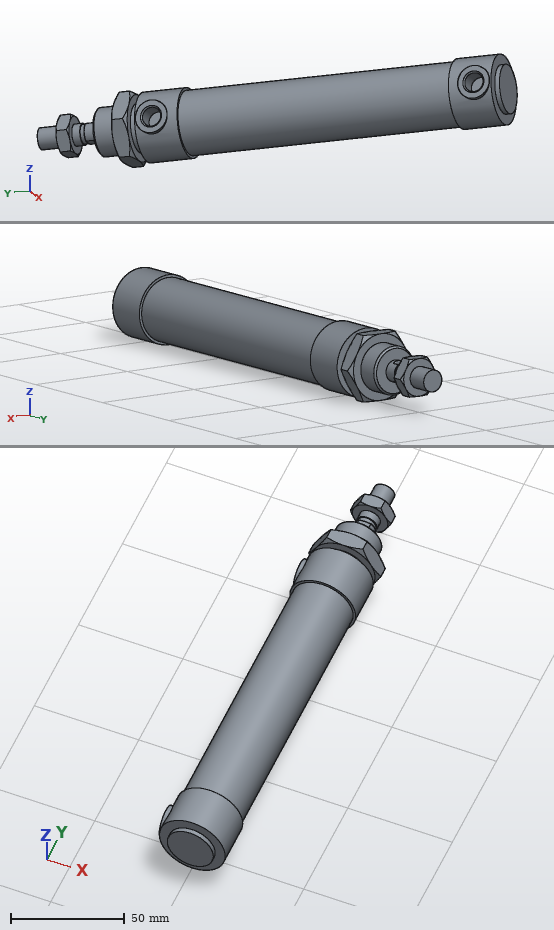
import cadquery as cq
import math

LENGTH = 220.5
ROD_TIP = LENGTH / 2
REAR_END = -LENGTH / 2

CAP_DIAMETER = 31.5
CAP_LENGTH = 20.0
BARREL_DIAMETER = 29.0
NOSE_DIAMETER = 22.0
NOSE_FRONT = ROD_TIP - 28.2
NOSE_CHAMFER = 0.9
FRONT_CAP_FACE = ROD_TIP - 50.0
SPIGOT_LENGTH = 2.2
REAR_CAP_FACE = REAR_END + SPIGOT_LENGTH

PORT_BOSS_DIAMETER = 15.0
PORT_FACE_X = -16.0
PORT_HOLE_DIAMETER = 8.5
PORT_MOUTH_DIAMETER = 10.0
MOUTH_TAPER = 45.0
PORT_DEPTH = 8.8
FRONT_PORT_INSET = 8.0
REAR_PORT_INSET = 8.2
PORT_CENTRES = [FRONT_CAP_FACE - FRONT_PORT_INSET, REAR_CAP_FACE + REAR_PORT_INSET]

ROD_DIAMETER = 10.0
NECK_DIAMETER = 8.8
NECK_FRONT = ROD_TIP - 20.0
NECK_LENGTH = 2.0
FLAT_WIDTH = 8.2
FLAT_LENGTH = 4.0
FLAT_END_RADIUS = 0.7

MOUNT_NUT_FLATS = 30.0
MOUNT_NUT_THICKNESS = 7.5
MOUNT_NUT_FRONT = ROD_TIP - 38.8
ROD_NUT_FLATS = 17.0
ROD_NUT_THICKNESS = 6.2
ROD_NUT_FRONT = ROD_TIP - 10.1
NUT_CHAMFER_ANGLE = 30.0


def rod_along_y(diameter, front, length):
    """Round bar on the bore axis, running from front towards -Y."""
    return cq.Workplane("XZ", origin=(0, front, 0)).circle(diameter / 2).extrude(length)


def bar_along_x(diameter, start_x, y, length):
    """Round bar parallel to X, running from start_x towards +X."""
    return cq.Workplane("YZ", origin=(start_x, y, 0)).circle(diameter / 2).extrude(length)


def make_housing():
    barrel = rod_along_y(BARREL_DIAMETER, FRONT_CAP_FACE, FRONT_CAP_FACE - REAR_CAP_FACE)
    front_cap = rod_along_y(CAP_DIAMETER, FRONT_CAP_FACE, CAP_LENGTH)
    rear_cap = rod_along_y(CAP_DIAMETER, REAR_CAP_FACE + CAP_LENGTH, CAP_LENGTH)
    nose = rod_along_y(NOSE_DIAMETER, NOSE_FRONT, NOSE_FRONT - FRONT_CAP_FACE)
    nose = nose.faces(">Y").chamfer(NOSE_CHAMFER)
    spigot = rod_along_y(NOSE_DIAMETER, REAR_CAP_FACE, SPIGOT_LENGTH)
    housing = barrel.union(front_cap).union(rear_cap).union(nose).union(spigot)

    mouth_depth = (PORT_MOUTH_DIAMETER - PORT_HOLE_DIAMETER) / 2 / math.tan(math.radians(MOUTH_TAPER))
    for y in PORT_CENTRES:
        boss = bar_along_x(PORT_BOSS_DIAMETER, PORT_FACE_X, y, -PORT_FACE_X)
        hole = bar_along_x(PORT_HOLE_DIAMETER, PORT_FACE_X, y, PORT_DEPTH)
        mouth = (
            cq.Workplane("YZ", origin=(PORT_FACE_X, y, 0))
            .circle(PORT_MOUTH_DIAMETER / 2)
            .extrude(mouth_depth, taper=MOUTH_TAPER)
        )
        housing = housing.union(boss).cut(hole).cut(mouth)
    return housing


def make_piston_rod():
    rod = rod_along_y(ROD_DIAMETER, ROD_TIP, ROD_TIP - NOSE_FRONT)
    neck_end = NECK_FRONT - NECK_LENGTH
    ring = rod_along_y(ROD_DIAMETER, NECK_FRONT, NECK_LENGTH)
    rod = rod.cut(ring.cut(rod_along_y(NECK_DIAMETER, NECK_FRONT, NECK_LENGTH)))
    for side in (-1, 1):
        flat = cq.Workplane("XY").box(ROD_DIAMETER, FLAT_LENGTH, ROD_DIAMETER)
        flat = flat.faces("<Y").edges("<Z" if side > 0 else ">Z").fillet(FLAT_END_RADIUS)
        flat_z = side * (FLAT_WIDTH + ROD_DIAMETER) / 2
        rod = rod.cut(flat.translate((0, neck_end - FLAT_LENGTH / 2, flat_z)))
    return rod


def make_nut(across_flats, thickness, front, bore_diameter):
    """Hexagon nut with corners on X and both faces chamfered down to the flats."""
    corner_radius = across_flats / math.sqrt(3)
    flat_radius = across_flats / 2
    drop = (corner_radius - flat_radius) * math.tan(math.radians(NUT_CHAMFER_ANGLE))
    back = front - thickness
    hexagon = cq.Workplane("XZ", origin=(0, front, 0)).polygon(6, 2 * corner_radius).extrude(thickness)
    chamfer_envelope = (
        cq.Workplane("XY")
        .polyline([
            (0, back),
            (flat_radius, back),
            (corner_radius, back + drop),
            (corner_radius, front - drop),
            (flat_radius, front),
            (0, front),
        ])
        .close()
        .revolve(360, (0, 0, 0), (0, 1, 0))
    )
    return hexagon.intersect(chamfer_envelope).cut(rod_along_y(bore_diameter, front, thickness))


housing = make_housing()
piston_rod = make_piston_rod()
mounting_nut = make_nut(MOUNT_NUT_FLATS, MOUNT_NUT_THICKNESS, MOUNT_NUT_FRONT, NOSE_DIAMETER)
rod_nut = make_nut(ROD_NUT_FLATS, ROD_NUT_THICKNESS, ROD_NUT_FRONT, ROD_DIAMETER)

result = cq.Compound.makeCompound([
    housing.val(),
    piston_rod.val(),
    mounting_nut.val(),
    rod_nut.val(),
])